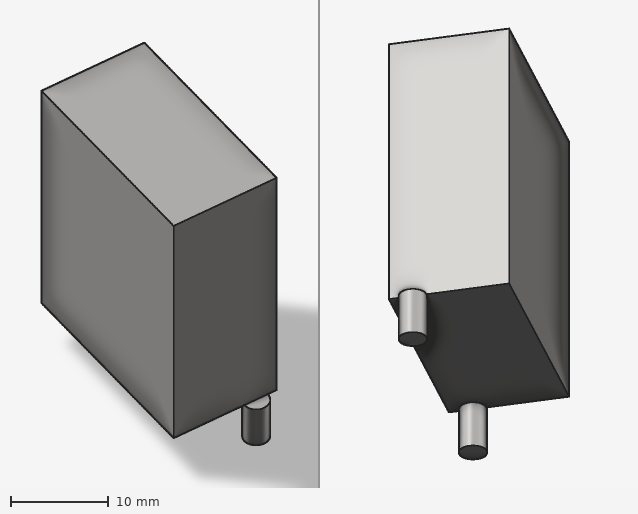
import cadquery as cq

housing_width = 24.13
housing_depth = 12.7
housing_height = 29.99

pin_diameter = 2.9
pin_length = 5.08
pin_spacing = housing_width
pin_inset_from_back = 2.54

pin_y = housing_depth / 2 - pin_inset_from_back


def make_housing():
    """Block standing on the plane Z = 0, centred on the Z axis."""
    return cq.Workplane("XY").box(
        housing_width, housing_depth, housing_height, centered=(True, True, False)
    )


def make_pin(x):
    """Pin hanging from the underside of the housing, its axis on a side face."""
    return cq.Workplane("XY").center(x, pin_y).circle(pin_diameter / 2).extrude(-pin_length)


housing = make_housing()
pins = [make_pin(side * pin_spacing / 2) for side in (-1, 1)]

result = cq.Compound.makeCompound([housing.val(), *[pin.val() for pin in pins]])